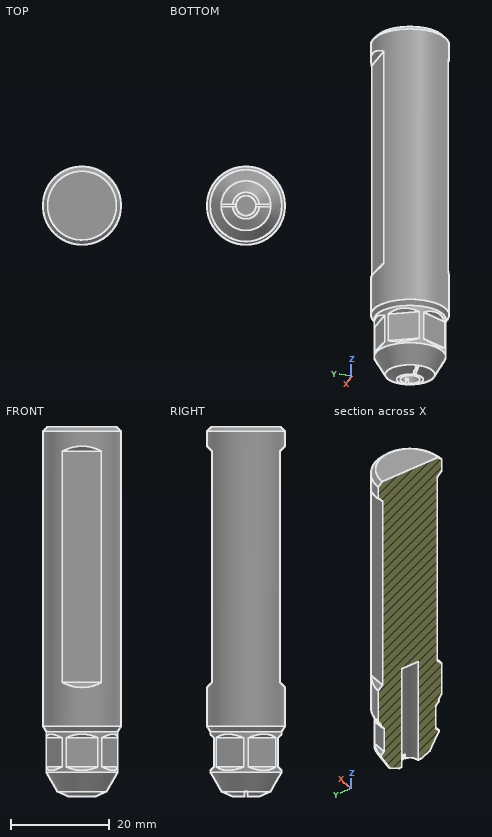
import cadquery as cq
import math

total_length = 75
shaft_radius = 7.95
top_chamfer = 1.0
nut_radius = 7.3
nose_tip_radius = 2.7
nose_edge_radius = 5.0
nose_edge_z = 1.05
taper_top_z = 4.95
flare_bottom_z = 13.2
shaft_bottom_z = 14.25

shaft_flat_distance = 6.9
shaft_flat_bottom_z = 23.2
shaft_flat_top_z = 70.0
shaft_flat_count = 2

hex_flat_distance = 6.5
hex_flat_bottom_z = 6.1
hex_flat_top_z = 11.9
hex_flat_count = 6

bore_diameter = 4.05
bore_depth = 25.05
slot_width = 0.5

cut_margin = 0.75


def turned_body():
    """Tapered nose, nut section, flare and long shaft, revolved about Z."""
    profile = [
        (0, 0),
        (nose_tip_radius, 0),
        (nose_edge_radius, nose_edge_z),
        (nut_radius, taper_top_z),
        (nut_radius, flare_bottom_z),
        (shaft_radius, shaft_bottom_z),
        (shaft_radius, total_length - top_chamfer),
        (shaft_radius - top_chamfer, total_length),
        (0, total_length),
    ]
    return cq.Workplane("XZ").polyline(profile).close().revolve(360, (0, 0), (0, 1))


def flat_cutter(flat_distance, bottom_z, top_z, body_radius):
    """Bar that mills one flat facing -Y, with end walls sloping outward at 45 degrees."""
    reach = body_radius - flat_distance + cut_margin
    half_width = math.sqrt(body_radius**2 - flat_distance**2) + cut_margin
    section = [
        (-flat_distance, bottom_z),
        (-flat_distance, top_z),
        (-flat_distance - reach, top_z + reach),
        (-flat_distance - reach, bottom_z - reach),
    ]
    return cq.Workplane("YZ").polyline(section).close().extrude(half_width, both=True)


def cut_flats(body, count, cutter):
    """Cut the same flat at equal angles around Z."""
    for index in range(count):
        body = body.cut(cutter.rotate((0, 0, 0), (0, 0, 1), index * 360 / count))
    return body


shaft_flat = flat_cutter(shaft_flat_distance, shaft_flat_bottom_z, shaft_flat_top_z, shaft_radius)
hex_flat = flat_cutter(hex_flat_distance, hex_flat_bottom_z, hex_flat_top_z, nut_radius)
bore = cq.Workplane("XY").circle(bore_diameter / 2).extrude(bore_depth)
slot = cq.Workplane("XY").box(2 * shaft_radius, slot_width, nose_edge_z, centered=(True, True, False))

body = turned_body()
body = cut_flats(body, shaft_flat_count, shaft_flat)
body = cut_flats(body, hex_flat_count, hex_flat)
result = body.cut(bore).cut(slot)